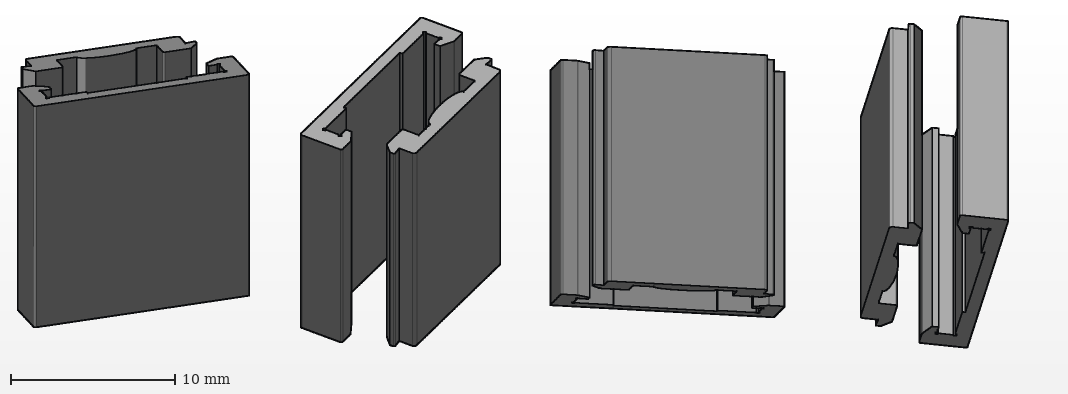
import cadquery as cq

LENGTH = 14.68
OVERALL_X = 7.0

COVER_DEPTH = 2.0
COVER_HALF_WIDTH = 5.0
COVER_WALL = 0.82
COVER_CORNER_RADIUS = 0.2
LEG_INNER_Y = 3.25
LEG_EDGE_RADIUS = 0.1
BARB_ROOT_X = 1.13
BARB_BACK_X = 1.05
BARB_FLAT_END_X = 1.4
BARB_TIP_Y = 5.65
BARB_TIP_RADIUS = 0.09
BARB_RAMP_END_Y = 5.05
CROWN_HALF_WIDTH = 1.94
CROWN_HEIGHT = 0.51

RAIL_DEPTH = 3.0
RAIL_HALF_WIDTH = 14.0 / 2
RAIL_CORNER_RADIUS = 0.12
RAIL_BACK_WALL = 1.0
RECESS_DEPTH = 0.19
RECESS_HALF_WIDTH = LEG_INNER_Y
CHANNEL_HALF_WIDTH = 5.77
LIP_THICKNESS = 0.88
LIP_TIP_THICKNESS = 0.41
LIP_TIP_Y = 5.11
LIP_RAMP_START_Y = 5.97
LIP_BEND_RADIUS = 0.12
RELIEF_RADIUS = 0.1


def mirrored(points):
    """Return the points reflected in the X axis, in reverse order."""
    return [(x, -y) for x, y in reversed(points)]


def extrude_outline(points):
    return cq.Workplane("XY").polyline(points).close().extrude(LENGTH)


def round_edges(body, points, radius):
    """Round the vertical edges standing on the given profile points."""
    reach = 0.01
    for x, y in points:
        edge = cq.selectors.BoxSelector(
            (x - reach, y - reach, -reach),
            (x + reach, y + reach, LENGTH + reach),
        )
        body = body.edges("|Z").edges(edge).fillet(radius)
    return body


def make_crown():
    """Half-elliptical pad along the middle of the cover's inner face."""
    ellipse = (
        cq.Workplane("XY")
        .center(COVER_WALL, 0)
        .ellipse(CROWN_HEIGHT, CROWN_HALF_WIDTH)
        .extrude(LENGTH)
    )
    inner_side = (
        cq.Workplane("XY")
        .center(COVER_WALL + CROWN_HEIGHT / 2, 0)
        .rect(CROWN_HEIGHT, 2 * CROWN_HALF_WIDTH)
        .extrude(LENGTH)
    )
    return ellipse.intersect(inner_side)


def make_cover():
    """Channel-shaped cover with a barb on the outside of each leg."""
    outer_corner = (0, COVER_HALF_WIDTH)
    barb_tip = (BARB_BACK_X, BARB_TIP_Y)
    leg_edge = (COVER_DEPTH, LEG_INNER_Y)
    upper_half = [
        outer_corner,
        (BARB_ROOT_X, COVER_HALF_WIDTH),
        barb_tip,
        (BARB_FLAT_END_X, BARB_TIP_Y),
        (COVER_DEPTH, BARB_RAMP_END_Y),
        leg_edge,
        (COVER_WALL, LEG_INNER_Y),
    ]
    body = extrude_outline(upper_half + mirrored(upper_half))
    body = round_edges(body, [outer_corner] + mirrored([outer_corner]), COVER_CORNER_RADIUS)
    body = round_edges(body, [leg_edge] + mirrored([leg_edge]), LEG_EDGE_RADIUS)
    body = round_edges(body, [barb_tip] + mirrored([barb_tip]), BARB_TIP_RADIUS)
    return body.union(make_crown())


def make_rail():
    """C-shaped rail with tapered lips, a recessed back and corner reliefs."""
    front_x = OVERALL_X - RAIL_DEPTH
    wall_x = OVERALL_X - RAIL_BACK_WALL
    recess_x = wall_x + RECESS_DEPTH
    lip_inner_x = front_x + LIP_THICKNESS
    outer_corners = [(OVERALL_X, RAIL_HALF_WIDTH), (front_x, RAIL_HALF_WIDTH)]
    channel_corners = [
        (lip_inner_x, CHANNEL_HALF_WIDTH),
        (wall_x, CHANNEL_HALF_WIDTH),
    ]
    lip_bend = (front_x, LIP_RAMP_START_Y)
    upper_half = outer_corners + [
        lip_bend,
        (lip_inner_x - LIP_TIP_THICKNESS, LIP_TIP_Y),
        (lip_inner_x, LIP_TIP_Y),
        *channel_corners,
        (wall_x, RECESS_HALF_WIDTH),
        (recess_x, RECESS_HALF_WIDTH),
    ]
    body = extrude_outline(upper_half + mirrored(upper_half))
    body = round_edges(body, outer_corners + mirrored(outer_corners), RAIL_CORNER_RADIUS)
    body = round_edges(body, [lip_bend] + mirrored([lip_bend]), LIP_BEND_RADIUS)
    reliefs = (
        cq.Workplane("XY")
        .pushPoints(channel_corners + mirrored(channel_corners))
        .circle(RELIEF_RADIUS)
        .extrude(LENGTH)
    )
    return body.cut(reliefs)


cover = make_cover()
rail = make_rail()

result = cq.Compound.makeCompound([cover.val(), rail.val()])